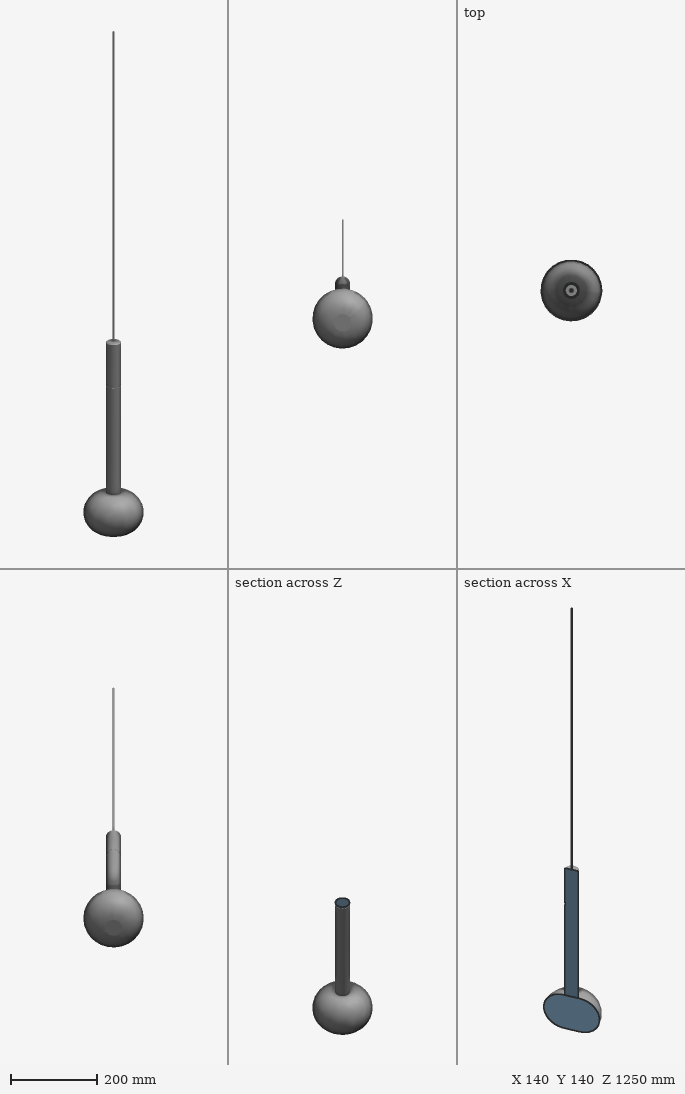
import cadquery as cq

total_height = 1250.0

globe_diameter = 140.0
globe_height = 100.0
globe_radius = globe_diameter / 2
side_radius = globe_height / 2
pole_radius = globe_radius - side_radius

stem_diameter = 35.0
stem_top = 476.0
stem_chamfer = 2.0
groove_center = 370.0
groove_width = 7.0
groove_depth = 0.6

cable_diameter = 4.0


def cylinder(diameter, bottom, top):
    """Vertical cylinder on the Z axis between two heights."""
    return cq.Workplane("XY").workplane(offset=bottom).circle(diameter / 2).extrude(top - bottom)


def make_globe():
    """Flattened solid globe resting on Z = 0."""
    return (
        cq.Workplane("XZ")
        .moveTo(0, 0)
        .lineTo(pole_radius, 0)
        .threePointArc((globe_radius, side_radius), (pole_radius, globe_height))
        .lineTo(0, globe_height)
        .close()
        .revolve(360, (0, 0), (0, 1))
    )


def make_stem():
    """Round stem with a chamfered top edge and a shallow ring groove."""
    stem = cylinder(stem_diameter, globe_height, stem_top).faces(">Z").chamfer(stem_chamfer)
    groove_bottom = groove_center - groove_width / 2
    groove_top = groove_center + groove_width / 2
    groove_outside = cylinder(stem_diameter, groove_bottom, groove_top)
    groove_core = cylinder(stem_diameter - 2 * groove_depth, groove_bottom, groove_top)
    return stem.cut(groove_outside.cut(groove_core))


def make_cable():
    """Thin cable rising from the top of the stem."""
    return cylinder(cable_diameter, stem_top, total_height)


globe = make_globe()
stem = make_stem()
cable = make_cable()

result = cq.Compound.makeCompound([globe.val(), stem.val(), cable.val()])